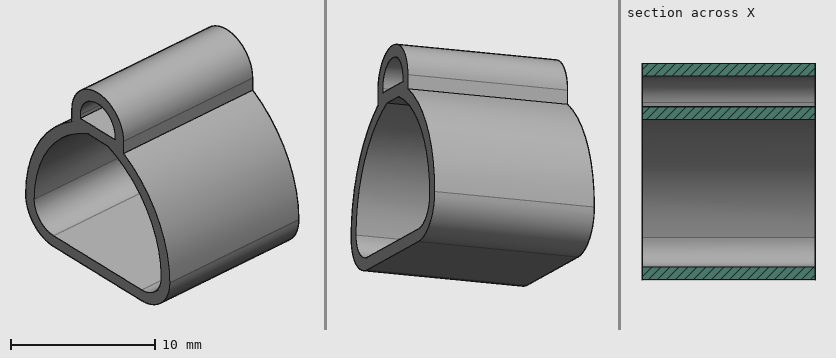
import cadquery as cq
import math

width = 15.0
height = 15.0
length = 12.0
wall = 0.9
corner_radius = 2.92
side_radius = 9.7
loop_radius = 2.7
loop_floor = 12.0

loop_center_z = height - loop_radius
chamber_top = loop_floor - wall
side_center_x = width / 2 - side_radius


def side_width(z, inset):
    """X position of the right-hand side arc, moved inward by inset, at height z."""
    radius = side_radius - inset
    return side_center_x + math.sqrt(radius**2 - (z - corner_radius) ** 2)


def body(inset, half_top, top_z):
    """Bow-sided prism with rounded bottom corners and a flat top."""
    half_width = width / 2 - inset
    radius = corner_radius - inset
    half_floor = half_width - radius
    corner_mid_x = half_floor + radius * math.sqrt(0.5)
    corner_mid_z = corner_radius - radius * math.sqrt(0.5)
    side_mid_z = (corner_radius + top_z) / 2
    side_mid_x = side_width(side_mid_z, inset)
    return (
        cq.Workplane("XZ")
        .moveTo(-half_floor, inset)
        .lineTo(half_floor, inset)
        .threePointArc((corner_mid_x, corner_mid_z), (half_width, corner_radius))
        .threePointArc((side_mid_x, side_mid_z), (half_top, top_z))
        .lineTo(-half_top, top_z)
        .threePointArc((-side_mid_x, side_mid_z), (-half_width, corner_radius))
        .threePointArc((-corner_mid_x, corner_mid_z), (-half_floor, inset))
        .close()
        .extrude(length / 2, both=True)
    )


def arch(radius, bottom_z):
    """Prism with straight legs from bottom_z and a half-round top."""
    return (
        cq.Workplane("XZ")
        .moveTo(-radius, bottom_z)
        .lineTo(radius, bottom_z)
        .lineTo(radius, loop_center_z)
        .threePointArc((0, loop_center_z + radius), (-radius, loop_center_z))
        .close()
        .extrude(length / 2, both=True)
    )


shoulder_z = corner_radius + math.sqrt(side_radius**2 - (loop_radius - side_center_x) ** 2)
outer_body = body(0, loop_radius, shoulder_z)
outer_loop = arch(loop_radius, chamber_top)

chamber = body(wall, side_width(chamber_top, wall), chamber_top)
loop_opening = arch(loop_radius - wall, loop_floor)

result = outer_body.union(outer_loop).cut(chamber).cut(loop_opening)